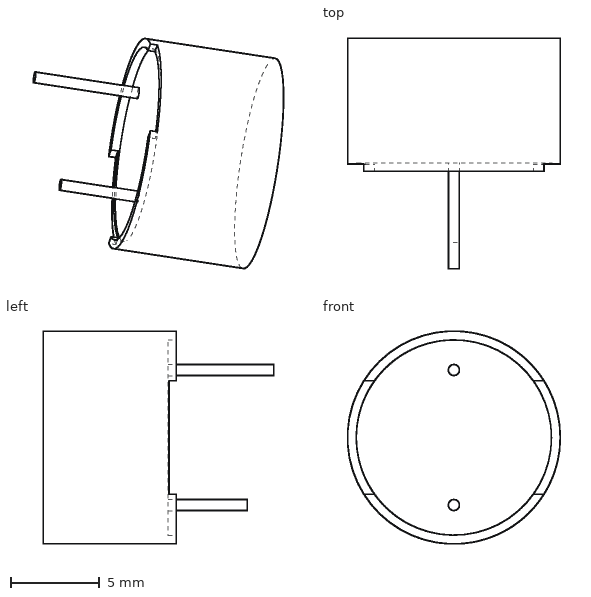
import cadquery as cq

total_length = 13.0
housing_diameter = 12.0
housing_length = 7.5
rim_inner_diameter = 11.0
notch_depth = 0.4
notch_height = 6.37
recess_depth = 0.5

pin_diameter = 0.62
pin_spacing = 7.6
long_pin_length = total_length - housing_length
short_pin_length = 4.0


def cylinder_along_y(diameter, y_start, y_end, z=0.0):
    """Solid cylinder parallel to Y, running from y_start up to y_end."""
    return (
        cq.Workplane("XZ", origin=(0, y_start, z))
        .circle(diameter / 2)
        .extrude(y_start - y_end)
    )


def make_housing():
    """Cylinder with a recessed end face and a rim notched on both sides."""
    body = cylinder_along_y(housing_diameter, 0, housing_length)
    recess = cylinder_along_y(rim_inner_diameter, 0, recess_depth)
    notches = cq.Workplane("XY").box(
        housing_diameter, notch_depth, notch_height, centered=(True, False, True)
    )
    return body.cut(recess).cut(notches)


def make_pin(length, z):
    """Pin standing on the recessed face, reaching `length` beyond the rim."""
    return cylinder_along_y(pin_diameter, -length, recess_depth, z)


upper_pin = make_pin(long_pin_length, pin_spacing / 2)
lower_pin = make_pin(short_pin_length, -pin_spacing / 2)
result = make_housing().union(upper_pin).union(lower_pin)